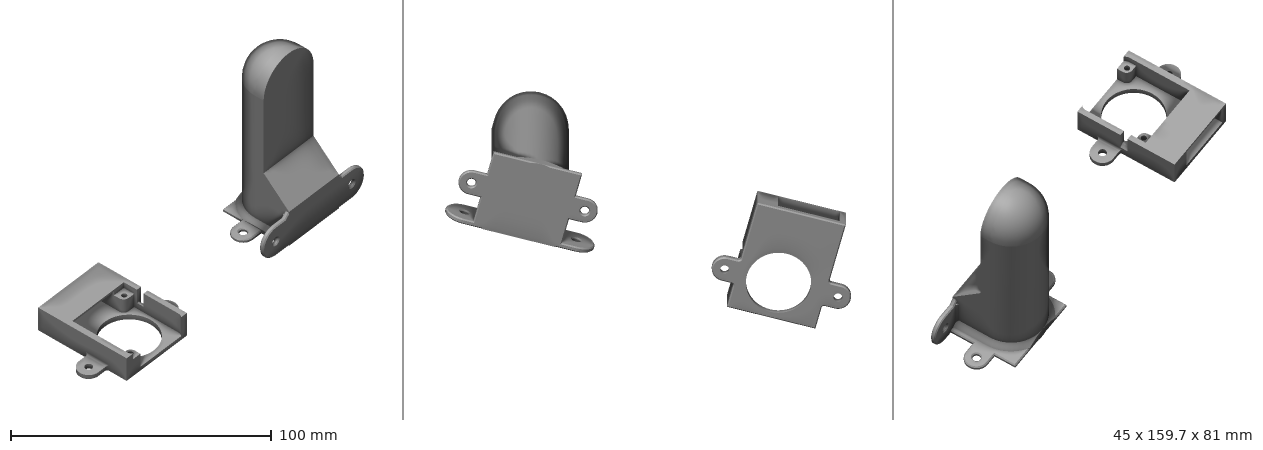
import cadquery as cq
import math

SCREW_DIA = 3.4
TAB_RADIUS = 5.0
TAB_HOLE_Y = 22.5
AXIS_OFFSET_Y = 1.1
EDGE_CHAMFER = 0.5
SELECT_MARGIN = 0.2
OVERRUN = 1.6

COVER_HEIGHT = 81.0
TOWER_RADIUS = 14.5
TOWER_BACK_X = 4.5
COVER_BACK_X = 17.4
SLOPE_TOP_Z = 29.5
SLOPE_BOTTOM_Z = 17.2
BASE_WIDTH = 35.1
BASE_THICKNESS = 1.9
SKIRT_SIZE = 2.4
EAR_THICKNESS = 2.0
EAR_RADIUS = 7.3
EAR_HOLE_Y = 22.2
EAR_GUSSET = 2.0
EAR_ROOT_CHAMFER = 1.0
DOME_Z = COVER_HEIGHT - TOWER_RADIUS
SKIRT_RADIUS = TOWER_RADIUS + SKIRT_SIZE

HOLDER_LENGTH = 45.0
HOLDER_WIDTH = 35.1
HOLDER_HEIGHT = 12.0
HOLDER_X = -18.0
HOLDER_Y = -102.7
HOLDER_Z = 5.7
FLOOR_THICKNESS = 2.4
ROOF_THICKNESS = 1.0
LEFT_WALL = 2.4
RIGHT_WALL = 2.7
FAN_SIZE = 30.0
POCKET_CORNER_RADIUS = 3.0
POCKET_OPEN_EXTENT = 0.8
OUTLET_RIGHT_WALL = 2.4
OUTLET_LEFT_WALL = 8.1
FAN_HOLE_DIA = 25.0
POST_SIZE = 5.3
POST_HEIGHT = 6.7
POST_CORNER_RADIUS = 2.5
PILOT_DIA = 2.4
PILOT_HALF_SPACING = 12.0
SLOT_X = 21.7
SLOT_WIDTH = 3.4
SLOT_FLOOR_Z = 5.3
SLOT_LIP = 1.3
TAB_ROOT_FILLET = 1.0

FAN_X = HOLDER_LENGTH - FAN_SIZE / 2
POCKET_X = HOLDER_LENGTH - FAN_SIZE
POCKET_LEFT_Y = HOLDER_WIDTH / 2 - LEFT_WALL
POCKET_RIGHT_Y = -HOLDER_WIDTH / 2 + RIGHT_WALL
POST_TOP_Z = FLOOR_THICKNESS + POST_HEIGHT


def box(x_range, y_range, z_range):
    """Axis-aligned block between the given limits."""
    size = [limits[1] - limits[0] for limits in (x_range, y_range, z_range)]
    corner = (x_range[0], y_range[0], z_range[0])
    return cq.Workplane("XY").box(*size, centered=False).translate(corner)


def tab_pair(x, thickness):
    """Two opposed round-ended tabs, as one bar across the centre line."""
    length = 2 * (TAB_HOLE_Y + TAB_RADIUS)
    return cq.Workplane("XY").center(x, 0).slot2D(length, 2 * TAB_RADIUS, 90).extrude(thickness)


def screw_cutter(thickness):
    """Screw hole along Z through a plate resting on Z = 0, with both rims chamfered."""
    radius = SCREW_DIA / 2
    rim = radius + EDGE_CHAMFER
    outline = [
        (0, 0),
        (rim, 0),
        (radius, EDGE_CHAMFER),
        (radius, thickness - EDGE_CHAMFER),
        (rim, thickness),
        (0, thickness),
    ]
    return cq.Workplane("XZ").polyline(outline).close().revolve(360, (0, 0), (0, 1))


def make_base():
    """Base plate with its two tabs, all edges chamfered."""
    base = box((-TOWER_RADIUS, COVER_BACK_X), (-BASE_WIDTH / 2, BASE_WIDTH / 2), (0, BASE_THICKNESS))
    base = base.union(tab_pair(0, BASE_THICKNESS))
    base = base.faces("<Z or >Z").edges().chamfer(EDGE_CHAMFER)
    for side in (-1, 1):
        base = base.cut(screw_cutter(BASE_THICKNESS).translate((0, side * TAB_HOLE_Y, 0)))
    return base.translate((0, AXIS_OFFSET_Y, 0))


def make_ear_plate():
    """Upright plate at the rear with one round ear on each side."""
    top = 2 * EAR_RADIUS
    tip = EAR_HOLE_Y + EAR_RADIUS
    gusset_y = TOWER_RADIUS + EAR_GUSSET
    plate = (
        cq.Workplane("YZ", origin=(COVER_BACK_X - EAR_THICKNESS, 0, 0))
        .moveTo(-EAR_HOLE_Y, 0)
        .lineTo(EAR_HOLE_Y, 0)
        .threePointArc((tip, EAR_RADIUS), (EAR_HOLE_Y, top))
        .lineTo(gusset_y, top)
        .lineTo(TOWER_RADIUS, top + EAR_GUSSET)
        .lineTo(-TOWER_RADIUS, top + EAR_GUSSET)
        .lineTo(-gusset_y, top)
        .lineTo(-EAR_HOLE_Y, top)
        .threePointArc((-tip, EAR_RADIUS), (-EAR_HOLE_Y, 0))
        .close()
        .extrude(EAR_THICKNESS)
    )
    plate = plate.faces("<X or >X").edges().chamfer(EDGE_CHAMFER)
    hole = screw_cutter(EAR_THICKNESS).rotate((0, 0, 0), (0, 1, 0), 90)
    for side in (-1, 1):
        place = (COVER_BACK_X - EAR_THICKNESS, side * EAR_HOLE_Y, EAR_RADIUS)
        plate = plate.cut(hole.translate(place))
    return plate


def make_tower():
    """Tower with a quarter-round dome, a flat back and a sloped rear foot."""
    middle = TOWER_RADIUS * math.sqrt(0.5)
    front = (
        cq.Workplane("XZ")
        .lineTo(-TOWER_RADIUS, 0)
        .lineTo(-TOWER_RADIUS, DOME_Z)
        .threePointArc((-middle, DOME_Z + middle), (0, COVER_HEIGHT))
        .close()
        .revolve(360, (0, 0), (0, 1))
        .intersect(box((-TOWER_RADIUS, 0), (-TOWER_RADIUS, TOWER_RADIUS), (0, COVER_HEIGHT)))
    )
    rear = (
        cq.Workplane("YZ")
        .moveTo(-TOWER_RADIUS, 0)
        .lineTo(TOWER_RADIUS, 0)
        .lineTo(TOWER_RADIUS, DOME_Z)
        .threePointArc((0, COVER_HEIGHT), (-TOWER_RADIUS, DOME_Z))
        .close()
        .extrude(COVER_BACK_X)
    )
    side_profile = [
        (0, 0),
        (COVER_BACK_X, 0),
        (COVER_BACK_X, SLOPE_BOTTOM_Z),
        (TOWER_BACK_X, SLOPE_TOP_Z),
        (TOWER_BACK_X, COVER_HEIGHT),
        (0, COVER_HEIGHT),
    ]
    keep = cq.Workplane("XZ").polyline(side_profile).close().extrude(TOWER_RADIUS, both=True)
    return front.union(rear.intersect(keep))


def skirt_outline(z):
    """U-shaped skirt foot at height z, running past the rear of the cover."""
    rear_x = COVER_BACK_X + SKIRT_SIZE + OVERRUN
    return (
        cq.Workplane("XY", origin=(0, 0, z))
        .moveTo(rear_x, SKIRT_RADIUS)
        .lineTo(0, SKIRT_RADIUS)
        .threePointArc((-SKIRT_RADIUS, 0), (0, -SKIRT_RADIUS))
        .lineTo(rear_x, -SKIRT_RADIUS)
        .close()
    )


def make_skirt():
    """45 degree skirt around the tower foot, cut off flush with the sides of the base.

    Its foot reaches down through the base, so the base's top chamfer stops where the skirt crosses it.
    """
    foot = skirt_outline(EDGE_CHAMFER).extrude(BASE_THICKNESS - EDGE_CHAMFER)
    slope = skirt_outline(BASE_THICKNESS).extrude(SKIRT_SIZE, taper=45)
    trim = box(
        (-TOWER_RADIUS, COVER_BACK_X - EAR_THICKNESS),
        (AXIS_OFFSET_Y - BASE_WIDTH / 2, AXIS_OFFSET_Y + BASE_WIDTH / 2),
        (0, BASE_THICKNESS + SKIRT_SIZE),
    )
    return foot.union(slope).intersect(trim)


def make_ear_root():
    """Chamfers in the corners between the tower sides and the ear plate."""
    ear_x = COVER_BACK_X - EAR_THICKNESS
    outline = [
        (ear_x - EAR_ROOT_CHAMFER, -TOWER_RADIUS),
        (ear_x - EAR_ROOT_CHAMFER, TOWER_RADIUS),
        (ear_x, TOWER_RADIUS + EAR_ROOT_CHAMFER),
        (ear_x, -TOWER_RADIUS - EAR_ROOT_CHAMFER),
    ]
    return cq.Workplane("XY").polyline(outline).close().extrude(2 * EAR_RADIUS)


def make_cover():
    cover = make_tower().union(make_base()).union(make_ear_plate())
    return cover.union(make_skirt()).union(make_ear_root())


def make_holder_shell():
    """Outer block with two tabs, filleted where the tabs meet it and chamfered underneath."""
    shell = box((0, HOLDER_LENGTH), (-HOLDER_WIDTH / 2, HOLDER_WIDTH / 2), (0, HOLDER_HEIGHT))
    shell = shell.union(tab_pair(FAN_X, FLOOR_THICKNESS))
    for side in (-1, 1):
        root = cq.selectors.BoxSelector(
            (FAN_X - TAB_RADIUS - SELECT_MARGIN, side * HOLDER_WIDTH / 2 - SELECT_MARGIN, SELECT_MARGIN),
            (
                FAN_X + TAB_RADIUS + SELECT_MARGIN,
                side * HOLDER_WIDTH / 2 + SELECT_MARGIN,
                FLOOR_THICKNESS + SELECT_MARGIN,
            ),
        )
        shell = shell.edges(root).fillet(TAB_ROOT_FILLET)
    return shell.faces("<Z").edges().chamfer(EDGE_CHAMFER)


def make_pocket():
    """Fan pocket, rounded where its outline turns in across the open end."""
    end_x = HOLDER_LENGTH + POCKET_OPEN_EXTENT
    top_z = HOLDER_HEIGHT + OVERRUN
    pocket = box((POCKET_X, end_x), (POCKET_RIGHT_Y, POCKET_LEFT_Y), (FLOOR_THICKNESS, top_z))
    return pocket.edges("|Z and >X").fillet(POCKET_CORNER_RADIUS)


def make_outlet():
    return box(
        (-OVERRUN, POCKET_X),
        (-HOLDER_WIDTH / 2 + OUTLET_RIGHT_WALL, HOLDER_WIDTH / 2 - OUTLET_LEFT_WALL),
        (FLOOR_THICKNESS, HOLDER_HEIGHT - ROOF_THICKNESS),
    )


def make_posts():
    """Screw posts in two opposite pocket corners, with blind pilot holes down to the floor."""
    inner_post = box(
        (POCKET_X, POCKET_X + POST_SIZE),
        (HOLDER_WIDTH / 2 - OUTLET_LEFT_WALL, POCKET_LEFT_Y),
        (FLOOR_THICKNESS, POST_TOP_Z),
    ).edges("|Z and >X and <Y").fillet(POST_CORNER_RADIUS)
    end_post = box(
        (HOLDER_LENGTH - POST_SIZE, HOLDER_LENGTH),
        (POCKET_RIGHT_Y, POCKET_RIGHT_Y + POST_SIZE),
        (FLOOR_THICKNESS, POST_TOP_Z),
    ).edges("|Z and <X and >Y").fillet(POST_CORNER_RADIUS)
    pilots = (
        cq.Workplane("XY", origin=(FAN_X, 0, FLOOR_THICKNESS))
        .pushPoints([(-PILOT_HALF_SPACING, PILOT_HALF_SPACING), (PILOT_HALF_SPACING, -PILOT_HALF_SPACING)])
        .circle(PILOT_DIA / 2)
        .extrude(POST_HEIGHT)
    )
    return inner_post.union(end_post).cut(pilots)


def make_wire_slot():
    """Slot down through the +Y wall, its floor bevelled toward the outside."""
    outer_y = HOLDER_WIDTH / 2
    profile = [
        (POCKET_LEFT_Y, SLOT_FLOOR_Z),
        (outer_y - SLOT_LIP, SLOT_FLOOR_Z),
        (outer_y, SLOT_FLOOR_Z - SLOT_LIP),
        (outer_y, HOLDER_HEIGHT),
        (POCKET_LEFT_Y, HOLDER_HEIGHT),
    ]
    return cq.Workplane("YZ", origin=(SLOT_X, 0, 0)).polyline(profile).close().extrude(SLOT_WIDTH)


def make_holder():
    holder = make_holder_shell().cut(make_pocket()).cut(make_outlet()).union(make_posts())
    fan_hole = cq.Workplane("XY").center(FAN_X, AXIS_OFFSET_Y).circle(FAN_HOLE_DIA / 2)
    tab_holes = (
        cq.Workplane("XY")
        .pushPoints([(FAN_X, -TAB_HOLE_Y), (FAN_X, TAB_HOLE_Y)])
        .circle(SCREW_DIA / 2)
    )
    holder = holder.cut(make_wire_slot())
    holder = holder.cut(fan_hole.extrude(FLOOR_THICKNESS)).cut(tab_holes.extrude(FLOOR_THICKNESS))
    return holder.translate((HOLDER_X, HOLDER_Y, HOLDER_Z))


cover = make_cover()
fan_holder = make_holder()
result = cq.Compound.makeCompound([cover.val(), fan_holder.val()])